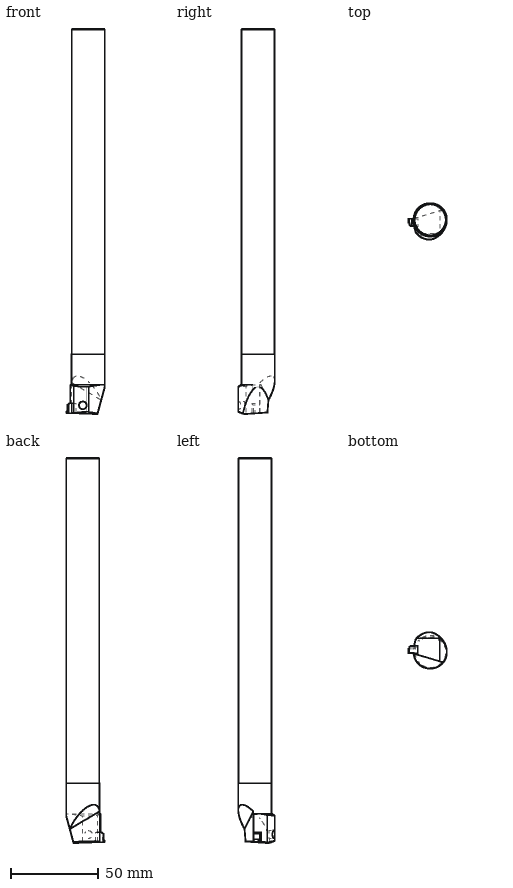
import cadquery as cq
import math

overall_width = 22.3
overall_depth = 21.0

total_length = 221.2
shank_diameter = 19.0
neck_diameter = 19.2
neck_top = 34.3
rim_chamfer = 0.7
shank_radius = shank_diameter / 2
neck_radius = neck_diameter / 2

head_top = 17.0
head_reach = overall_depth - neck_radius
side_front_x = -8.5
side_front_y = -7.0
side_back_x = -10.5
rake_height = 0.7
crown_mid_x = -5.3
crown_mid_y = -10.0
land_left_x = -1.0
land_right_x = 0.5
shoulder_mid_x = 5.5
shoulder_mid_y = -8.6
merge_angle = math.radians(-20)
blend_slope = math.radians(35)

relief_bottom_x = 5.3
relief_angle = 15.3

ridge_y = -7.7
ridge_rise = 0.04
flank_rise = 0.07
front_rise = 0.3

floor_angle = 16.7
wall_anchor = (0, neck_radius, 18.8)
wall_normal = (-0.53, 0.62, -0.58)

hole_diameter = 4.5
hole_x = -3.0
hole_z = 5.0
hole_floor_y = -8.0

insert_outer_x = -12.0
insert_inner_x = -7.0
insert_bottom = 0.5
insert_top = 6.5
insert_thickness = 4.2
insert_corner_x = 1.3
insert_corner_z = 1.0
insert_back_chamfer = 0.7
nib_reach = overall_width - neck_radius
nib_height = 1.8
nib_tip_z = 0.9
nib_thickness = 2.5

block_size = 132.7


def half_space(origin, normal):
    """Block on the side of a plane that its normal points to."""
    plane = cq.Plane(origin=origin, normal=normal)
    return cq.Workplane(plane).rect(block_size, block_size).extrude(block_size)


def make_shank():
    shank = (
        cq.Workplane("XY")
        .workplane(offset=neck_top)
        .circle(shank_radius)
        .extrude(total_length - neck_top)
        .faces(">Z")
        .chamfer(rim_chamfer)
    )
    neck = cq.Workplane("XY").circle(neck_radius).extrude(neck_top)
    return shank.union(neck)


def make_head():
    """Head outline pulled up to the neck, with a cone blending its top into the neck."""
    merge_x = neck_radius * math.cos(merge_angle)
    merge_y = neck_radius * math.sin(merge_angle)
    cone_base_radius = neck_radius + head_top / math.tan(blend_slope)
    outline = (
        cq.Workplane("XY")
        .moveTo(0, rake_height)
        .lineTo(side_back_x, rake_height)
        .lineTo(side_front_x, side_front_y)
        .threePointArc((crown_mid_x, crown_mid_y), (land_left_x, -head_reach))
        .lineTo(land_right_x, -head_reach)
        .threePointArc((shoulder_mid_x, shoulder_mid_y), (merge_x, merge_y))
        .close()
        .extrude(head_top)
    )
    blend = (
        cq.Workplane("XZ")
        .lineTo(cone_base_radius, 0)
        .lineTo(neck_radius, head_top)
        .lineTo(0, head_top)
        .close()
        .revolve(360, (0, 0, 0), (0, 1, 0))
    )
    return outline.intersect(blend)


def make_gullet():
    tilt = math.radians(floor_angle)
    above_floor = half_space((side_back_x, rake_height, 0), (-math.sin(tilt), math.cos(tilt), 0))
    outside_wall = half_space(wall_anchor, wall_normal)
    return above_floor.intersect(outside_wall)


def make_relief():
    tilt = math.radians(relief_angle)
    return half_space((relief_bottom_x, 0, 0), (math.cos(tilt), 0, -math.sin(tilt)))


def make_underside():
    """Material below the sloped underside; both faces pass through the lowest point of the ridge."""
    low_point = (relief_bottom_x, ridge_y, 0)
    below_flank = half_space(low_point, (-ridge_rise, flank_rise, -1))
    below_front = half_space(low_point, (-ridge_rise, -front_rise, -1))
    return below_flank.union(below_front)


def make_hole():
    depth = head_reach + hole_floor_y
    return (
        cq.Workplane(cq.Plane((hole_x, hole_floor_y, hole_z), (1, 0, 0), (0, -1, 0)))
        .circle(hole_diameter / 2)
        .extrude(depth)
    )


def make_insert():
    rake_plane = cq.Workplane("XZ", origin=(0, rake_height, 0))
    plate = (
        rake_plane
        .moveTo(insert_inner_x, insert_bottom)
        .lineTo(insert_outer_x, insert_bottom)
        .lineTo(insert_outer_x, insert_top - insert_corner_z)
        .lineTo(insert_outer_x + insert_corner_x, insert_top)
        .lineTo(insert_inner_x, insert_top)
        .close()
        .extrude(insert_thickness)
        .faces("<Y")
        .edges("<X")
        .chamfer(insert_back_chamfer)
    )
    nib = (
        rake_plane
        .moveTo(insert_outer_x, insert_bottom)
        .lineTo(-nib_reach, nib_tip_z)
        .lineTo(insert_outer_x, insert_bottom + nib_height)
        .close()
        .extrude(nib_thickness)
    )
    return plate.union(nib)


def make_bar(insert):
    bar = make_shank().union(make_head())
    bar = bar.cut(make_gullet()).cut(make_relief()).cut(make_underside())
    return bar.cut(make_hole()).cut(insert)


insert = make_insert()
bar = make_bar(insert)

result = cq.Compound.makeCompound([bar.val(), insert.val()])